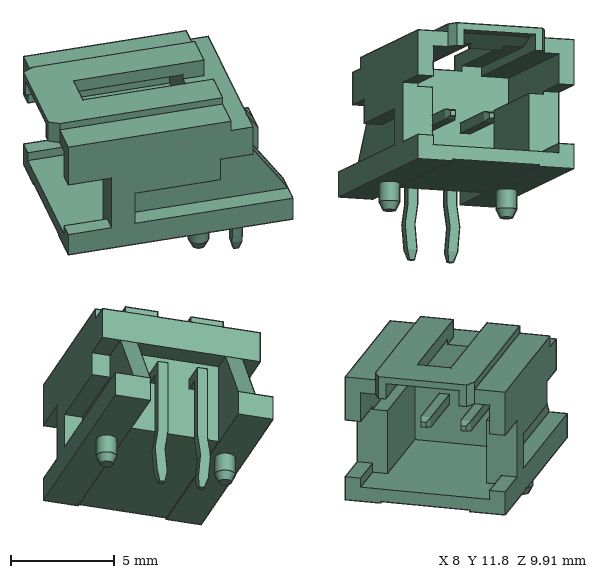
import cadquery as cq


width = 8.0
length = 11.25
wall_top = 6.31
shelf_top = 5.77
shelf_rear = 9.25

rail_width = 4.96
rail_top = 6.68
rail_rear = 8.15
tongue_length = 0.5
tongue_tip_width = 4.4

cavity_depth = 7.1
cavity_floor = 0.73
cavity_roof = 5.57
cavity_width = 6.44
lower_cavity_width = 4.96
lower_cavity_top = 3.95

keyway_width = 3.66
keyway_front_height = 6.355
keyway_rear_height = 6.02
lug_bottom = 5.86
slope_front = 0.35
slot_width = 1.68
slot_front = 1.62

notch_depth = 2.17
notch_bottom = 1.19
notch_top = 4.095

recess_depth = 0.91
recess_front = 3.35
recess_step = 7.61
recess_low_top = 2.99
arm_foot_top = 1.23
arm_top = 4.18

bay_width = 4.46
back_wall_rear = rail_rear
relief_height = 0.08

peg_diameter = 1.0
peg_tip_diameter = 0.6
peg_spacing = 6.0
peg_y = 6.8
peg_length = 1.33
peg_tip_length = 0.4

pin_pitch = 2.0
pin_size = 0.5
pin_tip_size = 0.25
pin_axis_z = 2.97
pin_front = 3.35
pin_front_taper = 0.4
leg_y = 9.21
leg_kink_start = -0.49
leg_kink_z = -1.515
leg_kink_offset = 0.15
leg_tip_start = -2.75
leg_tip_start_offset = 0.04
leg_end = -3.23


def block(x_width, y_front, y_rear, z_bottom, z_top):
    """Box centred on X = 0 between the given Y and Z limits."""
    return cq.Workplane("XY").box(
        x_width, y_rear - y_front, z_top - z_bottom, centered=(True, False, False)
    ).translate((0, y_front, z_bottom))


def side_profile(points, x_width):
    """Extrude a (Y, Z) outline symmetrically about X = 0."""
    return cq.Workplane("YZ").polyline(points).close().extrude(x_width / 2, both=True)


def make_body():
    """Stepped outer block with sloping rear arms, the roof rail and the tongue."""
    outline = [
        (0, 0),
        (length, 0),
        (length, arm_foot_top),
        (shelf_rear, arm_top),
        (shelf_rear, shelf_top),
        (rail_rear, shelf_top),
        (rail_rear, wall_top),
        (0, wall_top),
    ]
    rail = block(rail_width, 0, rail_rear, shelf_top, rail_top)
    tongue = (
        cq.Workplane("XY", origin=(0, 0, cavity_roof))
        .polyline([
            (-rail_width / 2, 0),
            (-tongue_tip_width / 2, -tongue_length),
            (tongue_tip_width / 2, -tongue_length),
            (rail_width / 2, 0),
        ])
        .close()
        .extrude(rail_top - cavity_roof)
    )
    return side_profile(outline, width).union(rail).union(tongue)


def make_cavity():
    """Mating cavity: wide at the front and top, narrower between the lower side walls."""
    upper = block(cavity_width, 0, cavity_depth, lower_cavity_top, cavity_roof)
    lower = block(lower_cavity_width, 0, cavity_depth, cavity_floor, lower_cavity_top)
    mouth = block(cavity_width, 0, notch_depth, cavity_floor, cavity_roof)
    return upper.union(lower).union(mouth)


def make_keyway():
    """Keyway under the rail; past its mouth the roof slopes down to a lug in front of the latch slot."""
    slope = (keyway_front_height - lug_bottom) / (slot_front - slope_front)
    slope_end = slope_front + (keyway_front_height - keyway_rear_height) / slope
    keyway = side_profile(
        [
            (-tongue_length, cavity_roof),
            (cavity_depth, cavity_roof),
            (cavity_depth, keyway_rear_height),
            (slope_end, keyway_rear_height),
            (slope_front, keyway_front_height),
            (-tongue_length, keyway_front_height),
        ],
        keyway_width,
    )
    lug = side_profile(
        [
            (slope_end, keyway_rear_height),
            (slot_front, keyway_rear_height),
            (slot_front, lug_bottom),
        ],
        slot_width,
    )
    return keyway.cut(lug)


def make_latch_slot():
    """Slot through the rail, running out over the rear shelf."""
    return block(slot_width, slot_front, rail_rear, shelf_top, rail_top)


def make_side_recesses():
    """Stepped recess on the outside of both side walls, open to the rear."""
    recess = side_profile(
        [
            (recess_front, arm_foot_top),
            (length, arm_foot_top),
            (length, arm_top),
            (recess_step, arm_top),
            (recess_step, recess_low_top),
            (recess_front, recess_low_top),
        ],
        width,
    )
    core_width = width - 2 * recess_depth
    return recess.cut(block(core_width, 0, length, 0, wall_top))


def make_pegs():
    """Two locating pegs with conical tips below the seating plane."""
    radius = peg_diameter / 2
    outline = [
        (0, 0),
        (radius, 0),
        (radius, peg_tip_length - peg_length),
        (peg_tip_diameter / 2, -peg_length),
        (0, -peg_length),
    ]
    peg = cq.Workplane("XZ").polyline(outline).close().revolve(360, (0, 0), (0, 1))
    left = peg.translate((-peg_spacing / 2, peg_y, 0))
    right = peg.translate((peg_spacing / 2, peg_y, 0))
    return left.union(right)


def make_housing():
    body = make_body()
    body = body.cut(make_cavity())
    body = body.cut(make_keyway())
    body = body.cut(make_latch_slot())
    body = body.cut(block(width, 0, notch_depth, notch_bottom, notch_top))
    body = body.cut(make_side_recesses())
    body = body.cut(block(bay_width, back_wall_rear, length, 0, arm_top))
    body = body.cut(block(bay_width, 0, length, 0, relief_height))
    for side in (-1, 1):
        pin_hole = block(
            pin_size, cavity_depth, back_wall_rear,
            pin_axis_z - pin_size / 2, pin_axis_z + pin_size / 2,
        )
        body = body.cut(pin_hole.translate((side * pin_pitch / 2, 0, 0)))
    return body.union(make_pegs())


def make_pin(side):
    """Right-angle square pin; its solder leg is kinked outward, toward the given side."""
    half = pin_size / 2
    taper_end = pin_front + pin_front_taper

    contact = block(pin_size, taper_end, leg_y + half, pin_axis_z - half, pin_axis_z + half)
    contact_tip = (
        cq.Workplane("XZ", origin=(0, taper_end, pin_axis_z))
        .rect(pin_size, pin_size)
        .workplane(offset=pin_front_taper)
        .rect(pin_tip_size, pin_tip_size)
        .loft(ruled=True)
    )

    kink = side * leg_kink_offset
    tip_shift = side * leg_tip_start_offset
    leg = (
        cq.Workplane("XZ", origin=(0, leg_y, 0))
        .polyline([
            (-half, pin_axis_z),
            (half, pin_axis_z),
            (half, leg_kink_start),
            (half + kink, leg_kink_z),
            (half + tip_shift, leg_tip_start),
            (-half + tip_shift, leg_tip_start),
            (-half + kink, leg_kink_z),
            (-half, leg_kink_start),
        ])
        .close()
        .extrude(half, both=True)
    )
    leg_tip = (
        cq.Workplane("XY", origin=(tip_shift, leg_y, leg_tip_start))
        .rect(pin_size, pin_size)
        .workplane(offset=leg_end - leg_tip_start)
        .center(-tip_shift, 0)
        .rect(pin_tip_size, pin_tip_size)
        .loft(ruled=True)
    )

    pin = contact.union(contact_tip).union(leg).union(leg_tip)
    return pin.translate((side * pin_pitch / 2, 0, 0))


housing = make_housing()
pins = [make_pin(side) for side in (-1, 1)]

result = cq.Compound.makeCompound([housing.val(), *[pin.val() for pin in pins]])